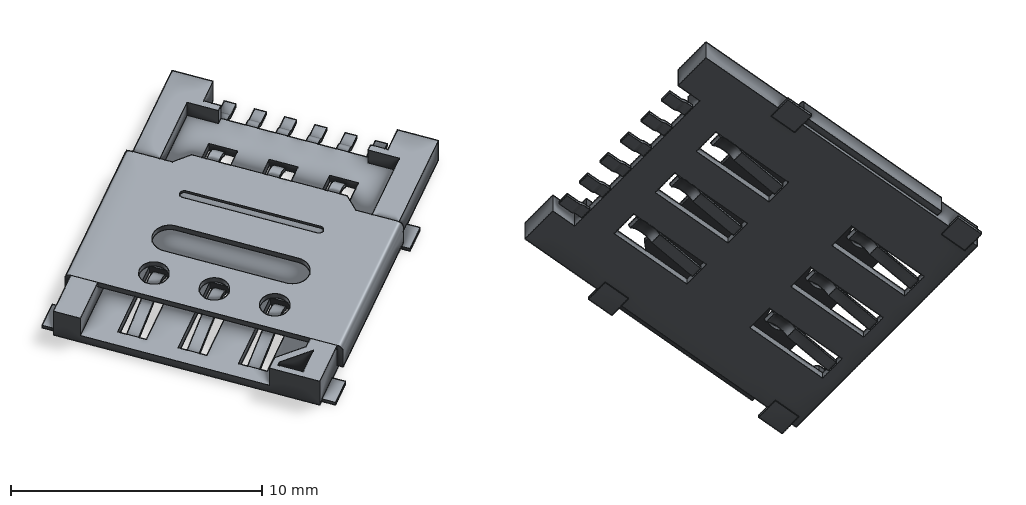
import cadquery as cq
import math


total_length = 14.1
total_width = 12.4
total_height = 1.45
metal_thickness = 0.15

housing_width = 11.25
housing_length = 14.05
housing_bottom = 0.05
floor_top = 0.44
cover_front = 2.06
cover_thickness = 0.25
rail_top = total_height - cover_thickness
rail_inner = 4.48
horn_inner = 3.89
notch_front = 12.92
rear_wall_thickness = 0.3
rear_opening = 3.16

key_inner = 3.5
key_front = 0.59
pocket_left = 3.76
pocket_right = 4.82
pocket_front = 0.27
pocket_slant_start = 0.44

column_pitch = 2.55
row_pitch = 7.02
contact_columns = [-column_pitch, 0, column_pitch]
slot_width = 1.21
slot_front = 0.69
slot_length = 3.76
contact_width = 0.51
contact_root_top = 0.34
contact_root_length = 0.05
contact_bend_top = 0.69
contact_top = 0.97
contact_tip_gap = 0.44
arch_length = 1.33

tail_count = 6
tail_pitch = column_pitch / 2
tail_pad_length = 0.59
tail_bend_angle = 40
tail_lower_radius = 0.08
tail_upper_radius = 0.42
tab_length = 1.21
tab_inner = 5.16
tab_fronts = [0.25, 9.07]

cover_shoulder = 9.18
tongue_rear = 9.8
tongue_half_width = 3.29
tongue_base_half_width = 3.88
flange_bottom = 0.27
groove_length = 6.06
groove_width = 0.38
groove_center = 7.7
groove_depth = 0.11
window_length = 6.6
window_width = 1.42
window_center = 5.26
hole_diameter = 1.21
hole_center = 3.29


def box(x_min, x_max, y_min, y_max, z_min, z_max):
    """Axis-aligned block given by its limits."""
    size = (x_max - x_min, y_max - y_min, z_max - z_min)
    return cq.Workplane("XY").box(*size, centered=False).translate((x_min, y_min, z_min))


def outline_block(points, z_min, z_max):
    """Vertical prism over a closed outline of straight edges."""
    return cq.Workplane("XY").workplane(offset=z_min).polyline(points).close().extrude(z_max - z_min)


def side_profile_block(profile, width, x_center):
    """Extrude a closed YZ profile symmetrically about x_center."""
    return profile.extrude(width / 2, both=True).translate((x_center, 0, 0))


def make_frame():
    """Moulded frame: floor, side rails, rear wall and raised front corners."""
    half_width = housing_width / 2
    frame = box(-half_width, half_width, 0, housing_length, housing_bottom, rail_top)
    frame = frame.union(box(-half_width, half_width, 0, cover_front, housing_bottom, total_height))

    notch = box(-horn_inner, horn_inner, notch_front, housing_length, housing_bottom, total_height)
    card_bay = outline_block(
        [
            (-rail_inner, 0),
            (key_inner, 0),
            (key_inner, key_front),
            (rail_inner, key_front + rail_inner - key_inner),
            (rail_inner, notch_front - rear_wall_thickness),
            (-rail_inner, notch_front - rear_wall_thickness),
        ],
        floor_top,
        total_height,
    )
    rear_opening_cut = box(-rear_opening, rear_opening, cover_front, notch_front, floor_top, total_height)
    corner_pocket = outline_block(
        [
            (pocket_left, pocket_front),
            (pocket_right, pocket_front),
            (pocket_right, pocket_slant_start + pocket_right - pocket_left),
            (pocket_left, pocket_slant_start),
        ],
        floor_top,
        total_height,
    )
    return frame.cut(notch).cut(card_bay).cut(rear_opening_cut).cut(corner_pocket)


def make_contact_slot(x_center, y_front):
    """Cutter for the slot through the floor around one contact."""
    half_width = slot_width / 2
    return box(
        x_center - half_width, x_center + half_width,
        y_front, y_front + slot_length,
        housing_bottom, floor_top,
    )


def make_contact(x_center, y_front):
    """Sprung arm that rises from the front wall of its slot and ends in an arch."""
    tip = y_front + slot_length - contact_tip_gap
    bend = tip - arch_length
    apex = tip - arch_length / 2
    arm_start = y_front + contact_root_length
    root = y_front - metal_thickness
    arch_rise = contact_top - contact_bend_top
    arch_radius = (arch_length**2 / 4 + arch_rise**2) / (2 * arch_rise)
    inner_share = 1 - metal_thickness / arch_radius
    inner_half = arch_length / 2 * inner_share
    inner_top = contact_top - metal_thickness
    inner_bend_top = inner_top - arch_rise * inner_share
    profile = (
        cq.Workplane("YZ")
        .moveTo(root, contact_root_top)
        .lineTo(arm_start, contact_root_top)
        .lineTo(bend, contact_bend_top)
        .threePointArc((apex, contact_top), (tip, contact_bend_top))
        .lineTo(apex + inner_half, inner_bend_top)
        .threePointArc((apex, inner_top), (apex - inner_half, inner_bend_top))
        .lineTo(arm_start, contact_root_top - metal_thickness)
        .lineTo(root, contact_root_top - metal_thickness)
        .close()
    )
    return side_profile_block(profile, contact_width, x_center)


def arc_point(center, radius, angle):
    """Point (Y, Z) on a circle, with the angle in degrees measured from +Z toward +Y."""
    return (
        center[0] + radius * math.sin(math.radians(angle)),
        center[1] + radius * math.cos(math.radians(angle)),
    )


def make_solder_tail(x_center):
    """Tail with a flat solder pad and an S-shaped step up into the rear edge of the floor."""
    pad_front = total_length - tail_pad_length
    root = notch_front - metal_thickness
    lower_center = (pad_front, metal_thickness + tail_lower_radius)
    upper_center = arc_point(lower_center, -tail_lower_radius - tail_upper_radius, tail_bend_angle)
    lower_outer = tail_lower_radius + metal_thickness
    upper_inner = tail_upper_radius - metal_thickness
    mid_angle = tail_bend_angle / 2
    profile = (
        cq.Workplane("YZ")
        .moveTo(total_length, 0)
        .lineTo(total_length, metal_thickness)
        .lineTo(pad_front, metal_thickness)
        .threePointArc(
            arc_point(lower_center, -tail_lower_radius, mid_angle),
            arc_point(lower_center, -tail_lower_radius, tail_bend_angle),
        )
        .threePointArc(
            arc_point(upper_center, tail_upper_radius, mid_angle),
            arc_point(upper_center, tail_upper_radius, 0),
        )
        .lineTo(root, upper_center[1] + tail_upper_radius)
        .lineTo(root, upper_center[1] + upper_inner)
        .lineTo(*arc_point(upper_center, upper_inner, 0))
        .threePointArc(
            arc_point(upper_center, upper_inner, mid_angle),
            arc_point(upper_center, upper_inner, tail_bend_angle),
        )
        .threePointArc(
            arc_point(lower_center, -lower_outer, mid_angle),
            arc_point(lower_center, -lower_outer, 0),
        )
        .close()
    )
    return side_profile_block(profile, contact_width, x_center)


def make_solder_tab(side, y_front):
    """Flat tab that sticks out of one side of the housing (side is -1 or 1)."""
    x_min, x_max = sorted([side * tab_inner, side * total_width / 2])
    return box(x_min, x_max, y_front, y_front + tab_length, 0, metal_thickness)


def make_housing():
    """Frame with its contacts, solder tails and solder tabs moulded in."""
    housing = make_frame()
    for x_center in contact_columns:
        for y_front in [slot_front, slot_front + row_pitch]:
            housing = housing.cut(make_contact_slot(x_center, y_front))
            housing = housing.union(make_contact(x_center, y_front))
    for index in range(tail_count):
        x_center = (index - (tail_count - 1) / 2) * tail_pitch
        housing = housing.union(make_solder_tail(x_center))
    for side in [-1, 1]:
        for y_front in tab_fronts:
            housing = housing.union(make_solder_tab(side, y_front))
    return housing


def make_cover():
    """Sheet bent down over both sides of the housing, with a tongue at its rear edge."""
    half_width = housing_width / 2
    outer = half_width + cover_thickness
    sheet = box(-outer, outer, cover_front, cover_shoulder, flange_bottom, total_height)
    sheet = sheet.edges("|Y and >Z").fillet(cover_thickness)
    sheet = sheet.cut(box(-half_width, half_width, cover_front, cover_shoulder, flange_bottom, rail_top))
    tongue = outline_block(
        [
            (-tongue_base_half_width, cover_shoulder),
            (tongue_base_half_width, cover_shoulder),
            (tongue_half_width, tongue_rear),
            (-tongue_half_width, tongue_rear),
        ],
        rail_top,
        total_height,
    )
    sheet = sheet.union(tongue)

    top_plane = cq.Workplane("XY").workplane(offset=total_height)
    groove = top_plane.center(0, groove_center).slot2D(groove_length, groove_width).extrude(-groove_depth)
    window = top_plane.center(0, window_center).slot2D(window_length, window_width).extrude(-cover_thickness)
    hole_points = [(x_center, hole_center) for x_center in contact_columns]
    holes = top_plane.pushPoints(hole_points).circle(hole_diameter / 2).extrude(-cover_thickness)
    return sheet.cut(groove).cut(window).cut(holes)


housing = make_housing()
cover = make_cover()

result = cq.Compound.makeCompound([housing.solids().val(), cover.solids().val()])